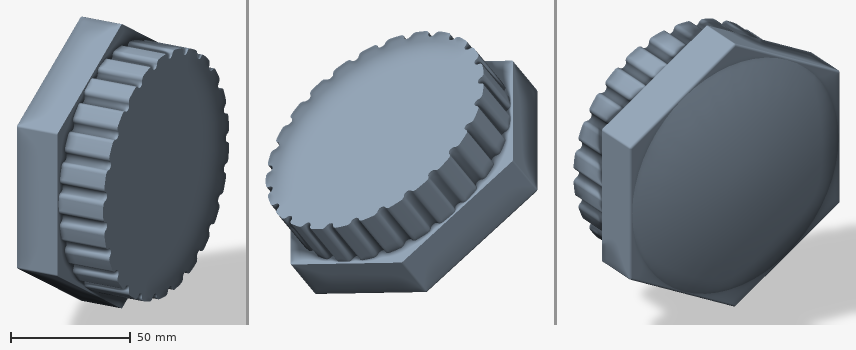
import cadquery as cq
import math

across_corners = 126.7
head_thickness = 20.0
edge_round = 1.0

corner_loss = edge_round * (1 / math.cos(math.pi / 6) - 1)
sharp_across_corners = across_corners + 2 * corner_loss
across_flats = sharp_across_corners * math.cos(math.pi / 6)

dome_height = 9.2
dome_edge_radius = across_flats / 2 - edge_round

grip_length = 21.4
grip_radius = 54.0
flute_count = 25
flute_center_depth = 1.0
flute_radius = 2 * flute_center_depth
flute_lip_radius = flute_radius

head_face_x = -head_thickness
dome_tip_x = head_face_x - dome_height


def make_head():
    """Hexagonal plate with rounded corners and a rounded -X rim."""
    head = (
        cq.Workplane("YZ", origin=(head_face_x, 0, 0))
        .polygon(6, sharp_across_corners)
        .extrude(head_thickness)
        .rotate((0, 0, 0), (1, 0, 0), 30)
    )
    head = head.edges("|X").fillet(edge_round)
    return head.faces("<X").edges().fillet(edge_round)


def make_dome():
    """Spherical cap standing on the head face, revolved about X."""
    sphere_radius = (dome_edge_radius**2 + dome_height**2) / (2 * dome_height)
    sphere_center_x = dome_tip_x + sphere_radius
    arc_mid_y = dome_edge_radius / 2
    arc_mid_x = sphere_center_x - math.sqrt(sphere_radius**2 - arc_mid_y**2)
    return (
        cq.Workplane("XY")
        .moveTo(head_face_x, 0)
        .lineTo(dome_tip_x, 0)
        .threePointArc((arc_mid_x, arc_mid_y), (head_face_x, dome_edge_radius))
        .close()
        .revolve(360, (0, 0, 0), (1, 0, 0))
    )


def make_grip():
    """Cylinder with round flutes along X whose lips blend into the lands."""
    flute_pitch = 360 / flute_count
    first_flute_angle = 180 + flute_pitch / 2
    flutes = (
        cq.Workplane("YZ")
        .polarArray(grip_radius - flute_center_depth, first_flute_angle, 360, flute_count)
        .circle(flute_radius)
        .extrude(grip_length)
    )
    grip = cq.Workplane("YZ").circle(grip_radius).extrude(grip_length).cut(flutes)
    return grip.edges("|X").fillet(flute_lip_radius)


result = make_head().union(make_dome()).union(make_grip())